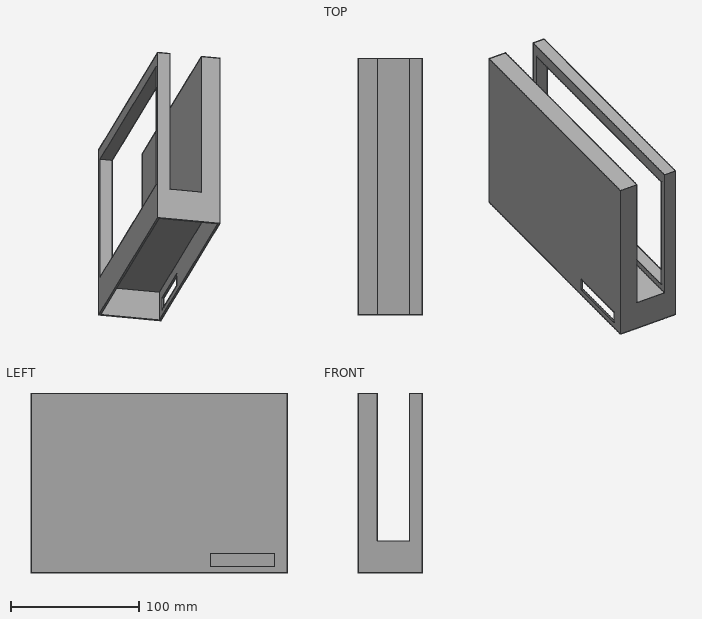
import cadquery as cq

width = 50.0
length = 200.0
height = 140.0

base_height = 25.0
base_wall = 1.5

solid_panel_thickness = 15.0
frame_thickness = 10.0

window_side_margin = 5.0
window_bottom_margin = 5.0
window_top_margin = 10.0

slot_length = 50.0
slot_height = 10.0
slot_end_margin = 10.0
slot_bottom = 5.0

panel_height = height - base_height
front_end = -length / 2


def block(x_start, y_start, z_start, x_size, y_size, z_size):
    """Box placed by its lowest corner."""
    box = cq.Workplane("XY").box(x_size, y_size, z_size, centered=False)
    return box.translate((x_start, y_start, z_start))


def hollow_base():
    outside = block(0, front_end, 0, width, length, base_height)
    cavity = block(
        base_wall,
        front_end + base_wall,
        0,
        width - 2 * base_wall,
        length - 2 * base_wall,
        base_height - base_wall,
    )
    slot = block(0, front_end + slot_end_margin, slot_bottom, base_wall, slot_length, slot_height)
    return outside.cut(cavity).cut(slot)


def solid_panel():
    return block(0, front_end, base_height, solid_panel_thickness, length, panel_height)


def framed_panel():
    frame_start = width - frame_thickness
    panel = block(frame_start, front_end, base_height, frame_thickness, length, panel_height)
    window = block(
        frame_start,
        front_end + window_side_margin,
        base_height + window_bottom_margin,
        frame_thickness,
        length - 2 * window_side_margin,
        panel_height - window_bottom_margin - window_top_margin,
    )
    return panel.cut(window)


result = hollow_base().union(solid_panel()).union(framed_panel())